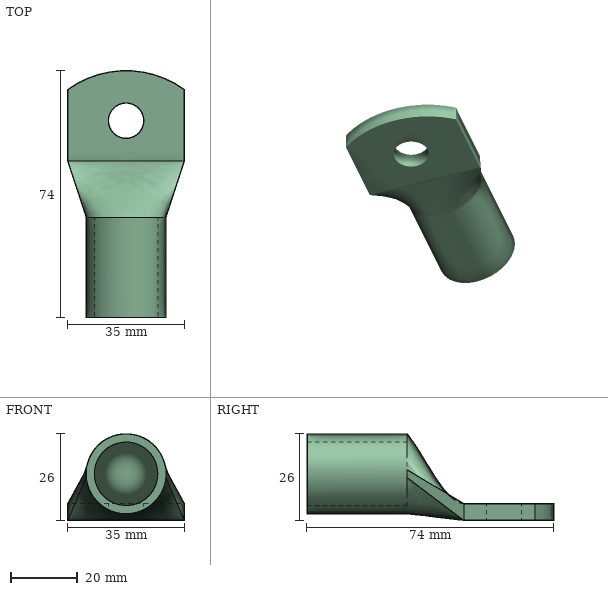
import cadquery as cq
import math

total_length = 74.0
total_height = 26.0

palm_width = 35.0
palm_thickness = 5.0
palm_length = 27.1
tip_rise = 5.7
hole_diameter = 10.5
hole_from_tip = 15.0

barrel_diameter = 24.0
bore_diameter = 19.0
barrel_length = 30.0

flank_height = 2.4
neck_steps = 6

barrel_radius = barrel_diameter / 2
barrel_axis_z = total_height - barrel_radius
half_width = palm_width / 2
palm_start = total_length - palm_length
corner_y = total_length - tip_rise
flank_x = math.sqrt(barrel_radius**2 - (flank_height / 2) ** 2)


def make_palm():
    outline = (
        cq.Workplane("XY")
        .moveTo(-half_width, palm_start)
        .lineTo(half_width, palm_start)
        .lineTo(half_width, corner_y)
        .threePointArc((0, total_length), (-half_width, corner_y))
        .close()
    )
    hole = (
        cq.Workplane("XY")
        .center(0, total_length - hole_from_tip)
        .circle(hole_diameter / 2)
        .extrude(palm_thickness)
    )
    return outline.extrude(palm_thickness).cut(hole)


def make_barrel():
    return (
        cq.Workplane("XZ", origin=(0, 0, barrel_axis_z))
        .circle(barrel_radius)
        .circle(bore_diameter / 2)
        .extrude(-barrel_length)
    )


def blend(start, end, t):
    return start + (end - start) * t


def make_neck_section(t):
    """Cross-section of the neck, from the palm (t = 0) to the barrel (t = 1)."""
    y = blend(palm_start, barrel_length, t)
    side_x = blend(half_width, flank_x, t)
    side_top = blend(palm_thickness, barrel_axis_z + flank_height / 2, t)
    side_bottom = blend(0, barrel_axis_z - flank_height / 2, t)
    crown = blend(palm_thickness, total_height, 2 * t**2 - t**3)
    keel = blend(0, barrel_axis_z - barrel_radius, t)

    top_left = cq.Vector(-side_x, y, side_top)
    top_right = cq.Vector(side_x, y, side_top)
    bottom_left = cq.Vector(-side_x, y, side_bottom)
    bottom_right = cq.Vector(side_x, y, side_bottom)
    if t == 0:
        upper = cq.Edge.makeLine(top_left, top_right)
        lower = cq.Edge.makeLine(bottom_right, bottom_left)
    else:
        upper = cq.Edge.makeThreePointArc(top_left, cq.Vector(0, y, crown), top_right)
        lower = cq.Edge.makeThreePointArc(bottom_right, cq.Vector(0, y, keel), bottom_left)
    right = cq.Edge.makeLine(top_right, bottom_right)
    left = cq.Edge.makeLine(bottom_left, top_left)
    return cq.Wire.assembleEdges([upper, right, lower, left])


def make_neck():
    sections = [make_neck_section(i / neck_steps) for i in range(neck_steps + 1)]
    return cq.Workplane("XY").newObject([cq.Solid.makeLoft(sections)])


result = make_palm().union(make_neck()).union(make_barrel())